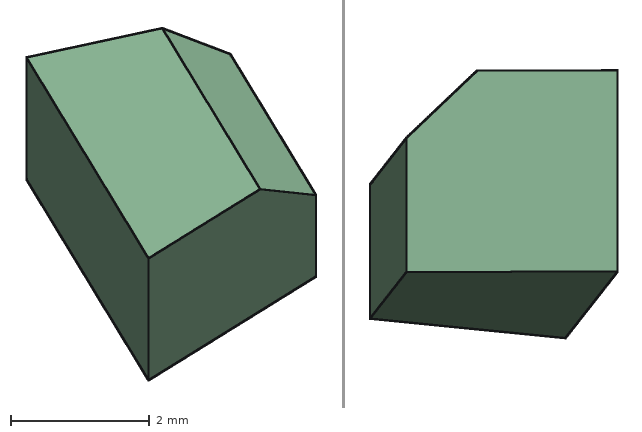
import cadquery as cq

front_width = 4.0
back_width = 2.81
depth = 2.99
height = 3.0

cut_size = 1.0


def tapered_block():
    """Upright block whose plan narrows evenly from front to back."""
    plan = [
        (-front_width / 2, 0),
        (front_width / 2, 0),
        (back_width / 2, depth),
        (-back_width / 2, depth),
    ]
    return cq.Workplane("XY").polyline(plan).close().extrude(height)


def back_edge_cut():
    """Triangular wedge that removes the upper back edge."""
    profile = [
        (depth - cut_size, height),
        (depth, height),
        (depth, height - cut_size),
    ]
    wedge = cq.Workplane("YZ").polyline(profile).close()
    return wedge.extrude(front_width / 2, both=True)


result = tapered_block().cut(back_edge_cut())